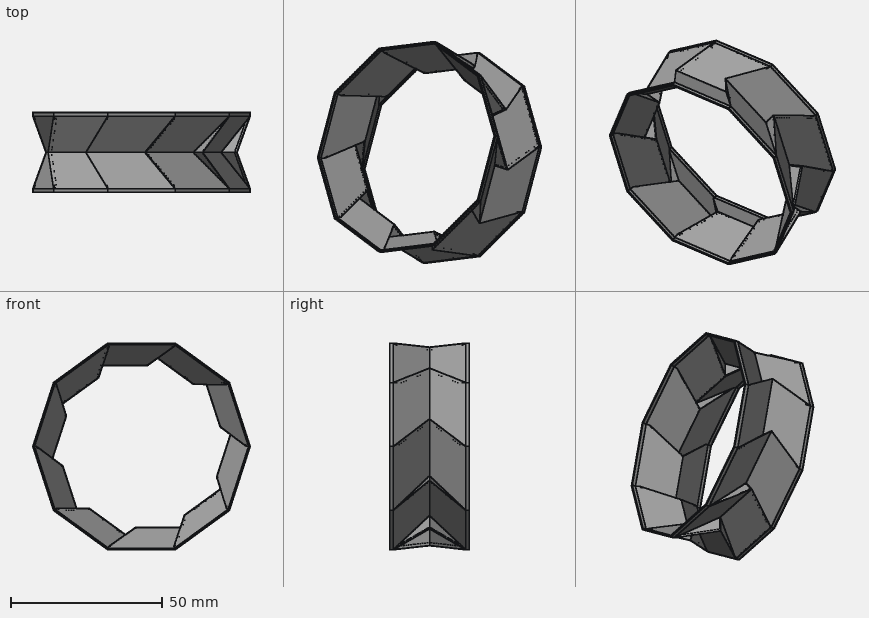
import cadquery as cq
import math

side_count = 10
ring_radius = 35.9
total_width = 26.4
ring_width = 1.2
wall = 0.5
waist_apothem = 27.2
waist_edge_start = -1.4
waist_edge_end = 18.4

half_width = total_width / 2
fold_end = half_width - ring_width
side_angle = 2 * math.pi / side_count
ring_apothem = ring_radius * math.cos(side_angle / 2)


def side_point(side, along, apothem):
    """(x, z) point given along a side of the decagon and outward from the axis."""
    normal = (side + 0.5) * side_angle
    x = apothem * math.cos(normal) - along * math.sin(normal)
    z = apothem * math.sin(normal) + along * math.cos(normal)
    return (x, z)


def inset_corner(before, corner, after, distance):
    """Corner of a counterclockwise outline after moving its edges inward."""
    angle_in = math.atan2(corner[1] - before[1], corner[0] - before[0])
    angle_out = math.atan2(after[1] - corner[1], after[0] - corner[0])
    bisector = math.pi / 2 + (angle_in + angle_out) / 2
    reach = distance / math.cos((angle_out - angle_in) / 2)
    return (corner[0] + reach * math.cos(bisector), corner[1] + reach * math.sin(bisector))


def inset(outline, distance):
    """Counterclockwise closed outline with every edge moved inward by the distance."""
    count = len(outline)
    return [
        inset_corner(outline[i - 1], outline[i], outline[(i + 1) % count], distance)
        for i in range(count)
    ]


def decagon(apothem):
    """Corners of a regular decagon; corner k starts side k."""
    half_side = apothem * math.tan(side_angle / 2)
    return [side_point(k, -half_side, apothem) for k in range(side_count)]


def waist_outline():
    """Sawtooth outline: at each corner a peak, then a step inward to a valley."""
    outline = []
    for k in range(side_count):
        peak = side_point(k - 1, waist_edge_end, waist_apothem)
        valley = side_point(k, waist_edge_start, waist_apothem)
        outline += [peak, valley]
    return outline


def at_depth(outline, y):
    return [cq.Vector(x, y, z) for x, z in outline]


def flat_face(points):
    """Polygon face; a point equal to the one before it is skipped."""
    distinct = [point for i, point in enumerate(points) if point != points[i - 1]]
    return cq.Face.makeFromWires(cq.Wire.makePolygon(distinct, close=True))


def pleated_body(ring, waist, apexes):
    """Solid from the pleated waist at Y = 0 to a straight band; each step starts at its apex."""
    waist_points = at_depth(waist, 0)
    fold_points = at_depth(ring, fold_end)
    end_points = at_depth(ring, half_width)
    faces = [flat_face(waist_points), flat_face(end_points)]
    for k in range(side_count):
        following = (k + 1) % side_count
        peak = waist_points[2 * k]
        valley = waist_points[2 * k + 1]
        next_peak = waist_points[2 * following]
        fold_edge = [fold_points[following], fold_points[k]]
        step = [apexes[k], peak, valley]
        panel = fold_edge + [apexes[k], valley, next_peak, apexes[following]]
        band = fold_edge + [end_points[k], end_points[following]]
        faces += [flat_face(step), flat_face(panel), flat_face(band)]
    return cq.Workplane(cq.Solid.makeSolid(cq.Shell.makeShell(faces)))


def inner_apex(k):
    """Point where the inner faces of two neighbouring panels meet the inner face of their step."""
    outer_corner = at_depth(outer_ring, fold_end)[k]
    inner_corner = at_depth(inner_ring, fold_end)[k]
    panel_corner = at_depth(decagon(waist_apothem - wall), 0)[k]
    peak, valley = at_depth(outer_waist, 0)[2 * k : 2 * k + 2]
    inward = (valley - peak).cross(cq.Vector(0, 1, 0)).normalized()
    panel_edge = panel_corner - inner_corner
    gap = wall - inward.dot(inner_corner - outer_corner)
    closing = inward.dot(panel_edge - (peak - outer_corner))
    return inner_corner + panel_edge * (gap / closing)


outer_ring = decagon(ring_apothem)
outer_waist = waist_outline()
outer_body = pleated_body(outer_ring, outer_waist, at_depth(outer_ring, fold_end))

inner_ring = decagon(ring_apothem - wall)
inner_waist = inset(outer_waist, wall)
inner_body = pleated_body(inner_ring, inner_waist, [inner_apex(k) for k in range(side_count)])

half = outer_body.cut(inner_body)
result = half.union(half.mirror("XZ"))